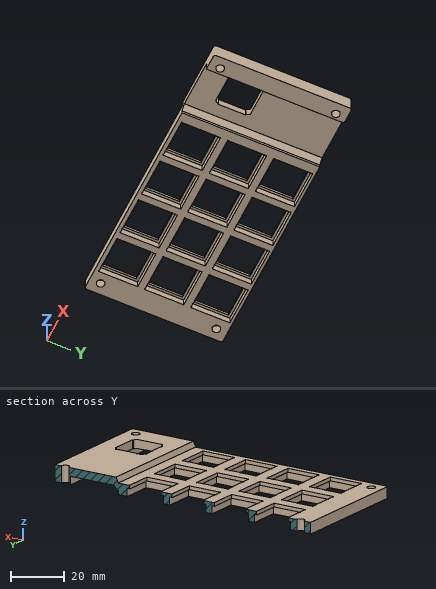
import cadquery as cq

length = 115.1
width = 57.1
height = 6.9
corner_radius = 1.0

key_deck_height = 4.7
step_foot_x = 86.5
step_run = 0.9
channel_start_x = 86.5
channel_end_x = 108.0
channel_height = 3.3
channel_chamfer = 2.1

key_columns = 4
key_rows = 3
key_opening = 14.0
key_lip = 1.5
key_relief = 1.0
first_column_x = 17.3
last_column_x = 74.5
key_pitch = (last_column_x - first_column_x) / (key_columns - 1)
middle_row_y = 28.8

window_length = 12.7
window_width = 14.3
window_x = 100.6
window_y = 17.3
window_corner_radius = 1.0
notch_depth = 0.5
notch_width = 11.4

screw_diameter = 3.2
screw_inset = 4.6


def make_plate():
    """Extrude the stepped side profile across the width and round its vertical corners."""
    profile = [
        (0, 0),
        (channel_start_x, 0),
        (channel_start_x, channel_height - channel_chamfer),
        (channel_start_x + channel_chamfer, channel_height),
        (channel_end_x, channel_height),
        (channel_end_x, 0),
        (length, 0),
        (length, height),
        (step_foot_x + step_run, height),
        (step_foot_x, key_deck_height),
        (0, key_deck_height),
    ]
    body = cq.Workplane("XZ").polyline(profile).close().extrude(-width)
    outline = (
        cq.Workplane("XY")
        .rect(length, width, centered=False)
        .extrude(height)
        .edges("|Z")
        .fillet(corner_radius)
    )
    return body.intersect(outline)


def make_key_cutters():
    """Through squares for every key, widened below the top lip."""
    centers = [
        (first_column_x + column * key_pitch, middle_row_y + (row - (key_rows - 1) / 2) * key_pitch)
        for column in range(key_columns)
        for row in range(key_rows)
    ]
    relief_size = key_opening + 2 * key_relief
    points = cq.Workplane("XY").pushPoints(centers)
    openings = points.rect(key_opening, key_opening).extrude(key_deck_height)
    reliefs = points.rect(relief_size, relief_size).extrude(key_deck_height - key_lip)
    return openings.union(reliefs)


def make_window_cutter():
    """Upright rounded block, with side notches, that pierces the raised deck."""
    center = cq.Workplane("XY").center(window_x, window_y)
    opening = (
        center.rect(window_length, window_width)
        .extrude(height)
        .edges("|Z")
        .fillet(window_corner_radius)
    )
    notches = center.rect(window_length + 2 * notch_depth, notch_width).extrude(height)
    return opening.union(notches)


def make_screw_cutters():
    """Through cylinders at the four corners."""
    centers = [
        (x, y)
        for x in (screw_inset, length - screw_inset)
        for y in (screw_inset, width - screw_inset)
    ]
    return cq.Workplane("XY").pushPoints(centers).circle(screw_diameter / 2).extrude(height)


result = (
    make_plate()
    .cut(make_key_cutters())
    .cut(make_window_cutter())
    .cut(make_screw_cutters())
)